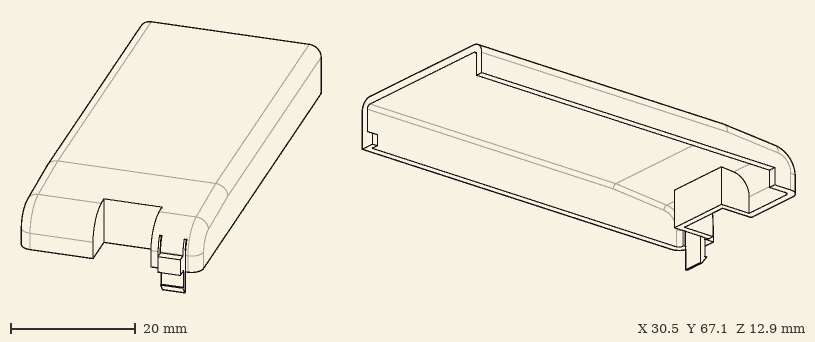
import cadquery as cq

width = 30.5
length = 67.1
height = 8.6
wall = 1.35
edge_radius = 2.0
nose_radius = 4.8
front_y = 1.4
slope_start_y = 16.45
nose_drop = 1.15

notch_left = -2.7
notch_right = 7.05
notch_back = 7.3
divider = 1.15

opening_height = 3.0
opening_front = 6.7

post_length = 1.0
post_left = 12.6
post_height = 1.95

latch_left = 8.65
latch_width = 3.75
latch_right = latch_left + latch_width
slot_width = 0.4
slot_top = 5.5
block_height = 2.8
tail_thickness = 1.0
tail_length = 4.35
tail_back = front_y + wall
tail_front = tail_back - tail_thickness
hook_z = -3.0
tail_tip_thickness = 0.35


def box(x0, x1, y0, y1, z0, z1):
    """Axis-aligned block between two corners."""
    return cq.Workplane("XY").box(x1 - x0, y1 - y0, z1 - z0, centered=False).translate((x0, y0, z0))


def extrude_side_profile(points, x0, x1):
    """Extrude a (Y, Z) outline from x0 to x1."""
    return cq.Workplane("YZ").polyline(points).close().extrude(x1 - x0).translate((x0, 0, 0))


def rounded_body(inset):
    """Cover envelope moved inwards by inset, with its rounded nose and edges."""
    half_width = width / 2 - inset
    front = front_y + inset
    roof = height - inset
    points = [
        (front, 0),
        (length, 0),
        (length, roof),
        (slope_start_y, roof),
        (front, roof - nose_drop),
    ]
    body = extrude_side_profile(points, -half_width, half_width)
    nose_edge = cq.selectors.NearestToPointSelector((0, front, roof - nose_drop))
    body = body.edges(nose_edge).fillet(nose_radius - inset)
    side_edges = body.faces("<X or >X").edges("not(<Z or >Y)")
    return side_edges.fillet(edge_radius - inset)


envelope = rounded_body(0)
cover = envelope.cut(rounded_body(wall))

divider_block = box(
    notch_left - divider, notch_right + divider, 0, notch_back + divider, 0, height
).intersect(envelope)
notch = box(notch_left, notch_right, 0, notch_back, 0, height)
cover = cover.union(divider_block).cut(notch)

cover = cover.cut(box(-width / 2, -width / 2 + wall, opening_front, length, 0, opening_height))

post_right = width / 2 - wall / 2
post_points = [
    (post_left, 0),
    (post_right, 0),
    (post_right, opening_height),
    (post_left, post_height),
]
post = cq.Workplane("XZ", origin=(0, length, 0)).polyline(post_points).close().extrude(post_length)
cover = cover.union(post)

for slot_left in (latch_left - slot_width, latch_right):
    cover = cover.cut(box(slot_left, slot_left + slot_width, 0, notch_back, 0, slot_top))

thumb_block = box(latch_left, latch_right, 0, tail_back, 0, block_height)

tail_points = [
    (tail_back, block_height),
    (tail_back, -tail_length),
    (tail_back - tail_tip_thickness, -tail_length),
    (front_y, hook_z),
    (tail_front, hook_z),
    (tail_front, block_height),
]
tail = extrude_side_profile(tail_points, latch_left, latch_right)

result = cover.union(thumb_block).union(tail)